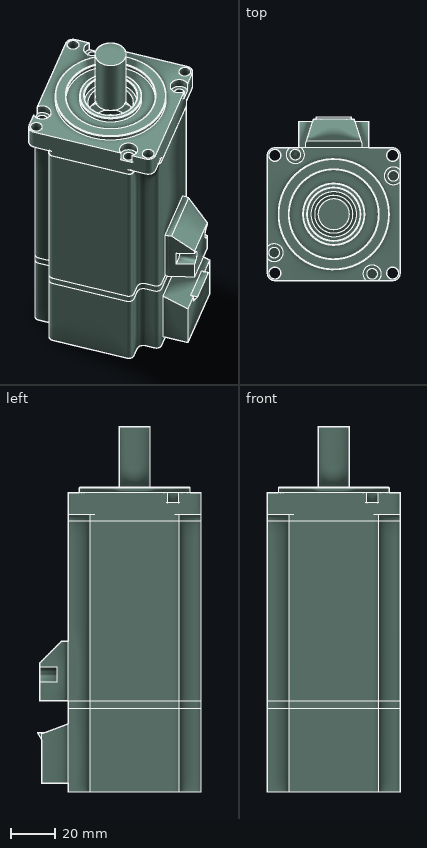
import cadquery as cq
import math


overall_height = 165.0
cover_top = 37.8
spacer_top = 41.2
stator_top = 122.3
flange_underside = 125.2
flange_face = 135.1
pilot_top = 137.6

frame_width = 60.0
half_width = frame_width / 2
corner_notch_from_axis = 20.1
notch_edge_radius = 2.5
flange_notch_edge_radius = 2.0
notch_root_radius = 3.0

flange_corner_radius = 3.5
mounting_hole_from_axis = 26.5
mounting_hole_diameter = 5.3
screw_along_side = 17.3
screw_from_axis = 26.9
screw_hole_diameter = 4.8
screw_recess_diameter = 8.1
screw_recess_depth = 4.5

pilot_radius = 25.0
groove_outer_radius = 20.1
seal_ring_radius = 14.0
seal_seat_radius = 11.9
seal_seat_depth = 4.6
bore_radius = 10.2
bore_depth = 12.5
rim_chamfer = 0.3
chamber_radius = 14.0

pocket_depth = 3.3
socket_radius = 8.5
socket_depth = 3.3

shaft_diameter = 14.0

power_base_half_width = 12.7
power_tip_half_width = 9.2
power_base_length = 2.0
power_length = 12.9
power_height = 26.9
power_bevel_start = 3.0
power_bevel_size = power_length - power_bevel_start
groove_start = 5.0
groove_radius = 3.5
groove_height = 11.9

signal_half_width = 15.8
signal_length = 11.9
signal_bottom = 4.0
signal_height_at_wall = 26.9
signal_height_at_end = 22.5
catch_half_width = 8.0
catch_overhang = 2.0
catch_top = 26.9
catch_drop = 3.3


def prism(width, bottom, top):
    """Square block centred on the motor axis."""
    return cq.Workplane("XY").workplane(offset=bottom).rect(width, width).extrude(top - bottom)


def disc(radius, bottom, top):
    """Cylinder on the motor axis."""
    return cq.Workplane("XY").workplane(offset=bottom).circle(radius).extrude(top - bottom)


def ring(outer_radius, inner_radius, bottom, top):
    """Tube on the motor axis."""
    return disc(outer_radius, bottom, top).cut(disc(inner_radius, bottom, top))


def frame_section(bottom, top, edge_radius):
    """Square column with a rounded rectangular notch along each of its four corners."""
    notch_size = 2 * (half_width - corner_notch_from_axis)
    notches = (
        cq.Workplane("XY")
        .workplane(offset=bottom)
        .rect(frame_width, frame_width, forConstruction=True)
        .vertices()
        .rect(notch_size, notch_size)
        .extrude(top - bottom)
    )
    column = prism(frame_width, bottom, top).cut(notches)
    inside = 2 * corner_notch_from_axis + notch_edge_radius
    roots = cq.selectors.BoxSelector(
        (-inside / 2, -inside / 2, bottom), (inside / 2, inside / 2, top)
    )
    vertical = cq.selectors.ParallelDirSelector(cq.Vector(0, 0, 1))
    column = column.edges(vertical - roots).fillet(edge_radius)
    return column.edges(vertical & roots).fillet(notch_root_radius)


def flange_plate():
    """Mounting plate with a hole near each corner and a recessed screw hole beside it."""
    plate = prism(frame_width, flange_underside, flange_face).edges("|Z").fillet(flange_corner_radius)
    plate = plate.union(frame_section(stator_top, flange_underside, flange_notch_edge_radius))
    mounting_holes = (
        cq.Workplane("XY")
        .workplane(offset=stator_top)
        .rect(2 * mounting_hole_from_axis, 2 * mounting_hole_from_axis, forConstruction=True)
        .vertices()
        .circle(mounting_hole_diameter / 2)
        .extrude(flange_face - stator_top)
    )
    screw_polar_radius = math.hypot(screw_along_side, screw_from_axis)
    screw_angle = math.degrees(math.atan2(screw_along_side, screw_from_axis))
    return (
        plate.cut(mounting_holes)
        .faces(">Z")
        .workplane(origin=(0, 0, flange_face))
        .polarArray(screw_polar_radius, screw_angle, 360, 4)
        .cboreHole(screw_hole_diameter, screw_recess_diameter, screw_recess_depth)
    )


def make_flange():
    """Flange with its pilot, the ring groove around the seal and the stepped bore."""
    pilot = ring(pilot_radius, groove_outer_radius, flange_face, pilot_top)
    seal_ring = ring(seal_ring_radius, seal_seat_radius, flange_face, pilot_top)
    return (
        flange_plate()
        .union(pilot.faces(">Z").chamfer(rim_chamfer))
        .union(seal_ring.faces(">Z").chamfer(rim_chamfer))
        .cut(disc(seal_seat_radius, pilot_top - seal_seat_depth, flange_face))
        .cut(disc(bore_radius, stator_top, flange_face))
        .cut(disc(chamber_radius, stator_top, pilot_top - bore_depth))
    )


def make_stator():
    """Stator column with a round pocket in its front end and a smaller socket in the pocket floor."""
    pocket_floor = stator_top - pocket_depth
    return (
        frame_section(spacer_top, stator_top, notch_edge_radius)
        .cut(disc(chamber_radius, pocket_floor, stator_top))
        .cut(disc(socket_radius, pocket_floor - socket_depth, pocket_floor))
    )


def make_spacer():
    """Thin plate between the stator and the rear cover."""
    return frame_section(cover_top, spacer_top, notch_edge_radius)


def make_rear_cover():
    """Closed end of the motor."""
    return frame_section(0, cover_top, notch_edge_radius)


def make_shaft():
    """Plain output shaft starting level with the flange face."""
    return disc(shaft_diameter / 2, flange_face, overall_height)


def make_power_connector():
    """Tapered plug with a 45 degree bevel on top and a round groove in each flank."""
    wall = half_width
    end = wall + power_length
    plug = (
        cq.Workplane("XY")
        .workplane(offset=spacer_top)
        .polyline(
            [
                (-power_base_half_width, wall),
                (-power_base_half_width, wall + power_base_length),
                (-power_tip_half_width, end),
                (power_tip_half_width, end),
                (power_base_half_width, wall + power_base_length),
                (power_base_half_width, wall),
            ]
        )
        .close()
        .extrude(power_height)
    )
    top = spacer_top + power_height
    bevel = (
        cq.Workplane("YZ")
        .polyline([(end, top), (end - power_bevel_size, top), (end, top - power_bevel_size)])
        .close()
        .extrude(power_base_half_width, both=True)
    )
    plug = plug.cut(bevel)
    for side in (-1, 1):
        groove = (
            cq.Workplane("XZ", origin=(side * power_tip_half_width, end, spacer_top + groove_height))
            .slot2D(4 * groove_radius, 2 * groove_radius)
            .extrude(power_length - groove_start)
            .translate((side * groove_radius, 0, 0))
        )
        plug = plug.cut(groove)
    return plug


def make_signal_connector():
    """Socket with a sloping top and a wedge-shaped catch on its end."""
    wall = half_width
    end = wall + signal_length
    slope_run = signal_length * (signal_bottom + signal_height_at_wall - catch_top)
    catch_root = wall + slope_run / (signal_height_at_wall - signal_height_at_end)
    body = (
        cq.Workplane("YZ")
        .polyline(
            [
                (wall, signal_bottom),
                (end, signal_bottom),
                (end, signal_bottom + signal_height_at_end),
                (wall, signal_bottom + signal_height_at_wall),
            ]
        )
        .close()
        .extrude(signal_half_width, both=True)
    )
    catch = (
        cq.Workplane("YZ")
        .polyline([(catch_root, catch_top), (end + catch_overhang, catch_top), (end, catch_top - catch_drop)])
        .close()
        .extrude(catch_half_width, both=True)
    )
    return body.union(catch)


flange = make_flange()
stator = make_stator()
spacer = make_spacer()
rear_cover = make_rear_cover()
shaft = make_shaft()
power_connector = make_power_connector()
signal_connector = make_signal_connector()

result = cq.Compound.makeCompound(
    [
        flange.val(),
        stator.val(),
        spacer.val(),
        rear_cover.val(),
        shaft.val(),
        power_connector.val(),
        signal_connector.val(),
    ]
)